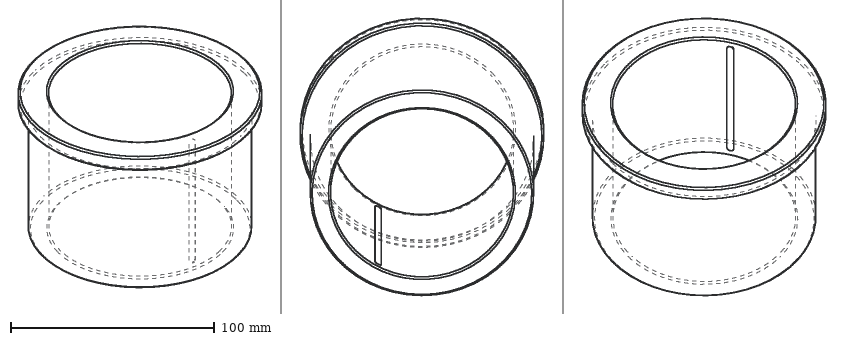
import cadquery as cq

height = 80.0
flange_diameter = 120.0
body_diameter = 110.0
bore_diameter = 90.0
flange_thickness = 8.0
edge_chamfer = 1.0
neck_fillet = 3.5

groove_width = 3.5
groove_end_margin = 4.0


def make_bushing():
    """Body and flange, blended at the neck and bored through."""
    body = cq.Workplane("XY").circle(body_diameter / 2).extrude(height)
    flange = (
        cq.Workplane("XY")
        .workplane(offset=height - flange_thickness)
        .circle(flange_diameter / 2)
        .extrude(flange_thickness)
        .edges()
        .chamfer(edge_chamfer)
    )
    bushing = body.union(flange)
    inner_edge = cq.selectors.RadiusNthSelector(0)
    bushing = bushing.faces(">Z[-2]").edges(inner_edge).fillet(neck_fillet)
    bushing = bushing.faces("<Z").edges().chamfer(edge_chamfer)
    bushing = bushing.faces(">Z").workplane().hole(bore_diameter)
    return bushing.faces("<Z or >Z").edges(inner_edge).chamfer(edge_chamfer)


def make_groove():
    """Round cutter with ball ends, centred on the bore surface at +X."""
    radius = groove_width / 2
    bottom = groove_end_margin + radius
    top = height - bottom
    axis = cq.Workplane("XY").center(bore_diameter / 2, 0)
    groove = axis.workplane(offset=bottom).circle(radius).extrude(top - bottom)
    for ball_height in (bottom, top):
        groove = groove.union(axis.workplane(offset=ball_height).sphere(radius))
    return groove


result = make_bushing().cut(make_groove())